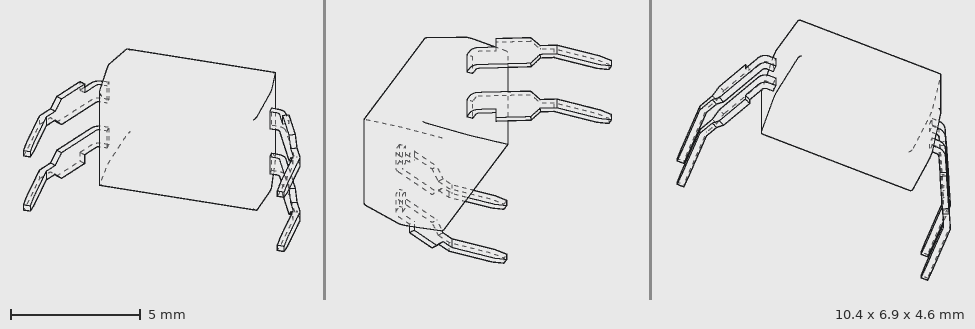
import cadquery as cq
import math


body_length = 6.5
body_height = 4.6
back_depth = 1.67
front_depth = 1.58
back_draft = 10
front_draft = 4
edge_radius = 0.15

lead_thickness = 0.25
lead_span = 10.42
tip_y = -5.23
splay_angle = 26
splay_drop = 2.93
knee_radius = 0.8 / 2
embed = 0.21

lead_low = 0.66
neck_width = 0.8
paddle_width = 1.21
paddle_start = 0.91
shoulder_start = 2.25
shoulder_end = 2.62

leg_center = 1.27
leg_width = 0.42
point_length = 0.5
point_width = 0.25

splay = math.radians(splay_angle)
half_span = lead_span / 2
knee_x = half_span - splay_drop * math.tan(splay)
leg_thickness = lead_thickness / math.cos(splay)
leg_inner_x = half_span - leg_thickness
inner_knee_x = knee_x - lead_thickness * math.tan((math.pi / 2 - splay) / 2)
leg_low = leg_center - leg_width / 2
leg_high = leg_center + leg_width / 2


def splay_point(distance, depth=0.0):
    """XY point along the splayed stretch, `depth` below its outer face."""
    x = knee_x + distance * math.sin(splay) - depth * math.cos(splay)
    y = -distance * math.cos(splay) - depth * math.sin(splay)
    return x, y


def make_body():
    band = cq.Workplane("XZ").rect(body_length, body_height).extrude(lead_thickness)
    front = (
        cq.Workplane("XZ", origin=(0, -lead_thickness, 0))
        .rect(body_length, body_height)
        .extrude(front_depth, taper=front_draft)
        .faces("<Y").edges().fillet(edge_radius)
    )
    back = (
        cq.Workplane("ZX")
        .rect(body_height, body_length)
        .extrude(back_depth, taper=back_draft)
        .faces(">Y").edges().fillet(edge_radius)
    )
    return band.union(front).union(back)


def make_knee():
    """Flat stretch out of the body, the rounded bend and the start of the splay."""
    root_x = body_length / 2 - embed
    knee = (
        cq.Workplane("XY", origin=(0, 0, lead_low))
        .moveTo(root_x, 0)
        .lineTo(knee_x, 0)
        .lineTo(*splay_point(paddle_start))
        .lineTo(*splay_point(paddle_start, lead_thickness))
        .lineTo(inner_knee_x, -lead_thickness)
        .lineTo(root_x, -lead_thickness)
        .close()
        .extrude(neck_width)
    )
    neck_center = lead_low + neck_width / 2
    outer_edge = cq.selectors.NearestToPointSelector((knee_x, 0, neck_center))
    inner_edge = cq.selectors.NearestToPointSelector((inner_knee_x, -lead_thickness, neck_center))
    knee = knee.edges(outer_edge).fillet(knee_radius)
    return knee.edges(inner_edge).fillet(knee_radius - lead_thickness)


def make_paddle():
    """Wide plate on the splay with sloping shoulders down to the leg width."""
    paddle_high = lead_low + paddle_width
    splay_plane = cq.Plane(
        origin=(knee_x, 0, 0),
        xDir=(math.sin(splay), -math.cos(splay), 0),
        normal=(math.cos(splay), math.sin(splay), 0),
    )
    outline = [
        (paddle_start, lead_low),
        (shoulder_start, lead_low),
        (shoulder_end, leg_low),
        (shoulder_end, leg_high),
        (shoulder_start, paddle_high),
        (paddle_start, paddle_high),
    ]
    return cq.Workplane(splay_plane).polyline(outline).close().extrude(-lead_thickness)


def make_leg():
    """End of the splay, the ankle bend and the straight leg with its pointed tip."""
    leg = (
        cq.Workplane("XY", origin=(0, 0, leg_low))
        .polyline([
            splay_point(shoulder_end),
            (half_span, -splay_drop),
            (half_span, tip_y),
            (leg_inner_x, tip_y),
            (leg_inner_x, -splay_drop),
            splay_point(shoulder_end, lead_thickness),
        ])
        .close()
        .extrude(leg_width)
    )
    point_start = tip_y + point_length
    point_inset = (leg_width - point_width) / 2
    width_outline = (
        cq.Workplane("YZ")
        .polyline([
            (0, leg_low),
            (point_start, leg_low),
            (tip_y, leg_low + point_inset),
            (tip_y, leg_high - point_inset),
            (point_start, leg_high),
            (0, leg_high),
        ])
        .close()
        .extrude(half_span)
    )
    return leg.intersect(width_outline)


def make_lead():
    return make_knee().union(make_paddle()).union(make_leg())


lead = make_lead()
lead_pair = lead.union(lead.mirror("XY"))
result = make_body().union(lead_pair).union(lead_pair.mirror("YZ"))